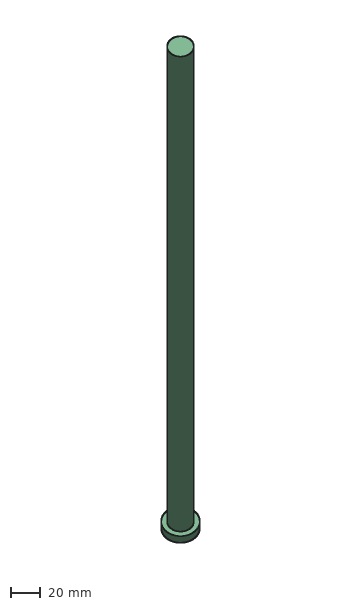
import cadquery as cq

total_length = 500.0
head_diameter = 26.0
head_thickness = 7.0
shaft_diameter = 18.0


def make_head():
    """Disc head with its underside at Z = 0."""
    return cq.Workplane("XY").circle(head_diameter / 2).extrude(head_thickness)


def make_shaft():
    """Round shaft running the full length, through the head."""
    return cq.Workplane("XY").circle(shaft_diameter / 2).extrude(total_length)


result = make_head().union(make_shaft())